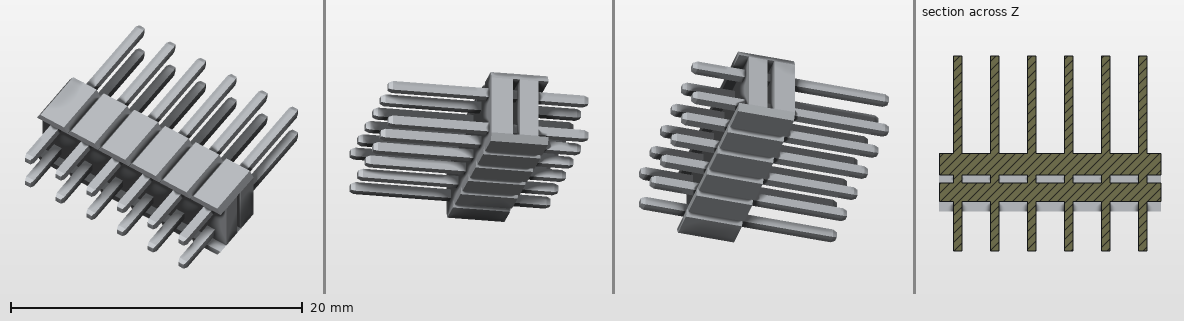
import cadquery as cq

pitch = 2.54
columns = 6
rows = 2
housing_depth = 4.0
housing_length = columns * pitch
housing_height = rows * pitch
front_face_y = -housing_depth / 2
back_face_y = housing_depth / 2

bevel_width = 0.3
bevel_height = 0.52

lip_thickness = 0.5
recess_depth = 0.7
slot_width = 0.5
slot_front_y = 0.0

pin_width = 0.64
pin_front_length = 3.0
pin_back_length = 7.0
tip_length = 0.3
tip_width = 0.44


def centred_positions(count):
    """Positions of evenly pitched items, centred on zero."""
    return [(index - (count - 1) / 2) * pitch for index in range(count)]


def make_cell(x):
    """One housing cell: a rectangle with bevelled corners extruded along Y."""
    half_width = pitch / 2
    half_height = housing_height / 2
    flat = half_width - bevel_width
    side = half_height - bevel_height
    outline = [
        (-flat, -half_height),
        (flat, -half_height),
        (half_width, -side),
        (half_width, side),
        (flat, half_height),
        (-flat, half_height),
        (-half_width, side),
        (-half_width, -side),
    ]
    cell = cq.Workplane("XZ").polyline(outline).close().extrude(housing_depth / 2, both=True)
    return cell.translate((x, 0, 0))


def make_channel(start_y, width):
    """Cutter running the full length in X, between the upper and lower lips."""
    channel_height = housing_height - 2 * lip_thickness
    channel = cq.Workplane("XY").box(housing_length, width, channel_height)
    return channel.translate((0, start_y + width / 2, 0))


def make_housing():
    """Row of cells with the front recess and the cross slot cut away."""
    housing = cq.Workplane("XY")
    for x in centred_positions(columns):
        housing = housing.union(make_cell(x))
    housing = housing.cut(make_channel(front_face_y, recess_depth))
    return housing.cut(make_channel(slot_front_y, slot_width))


def make_tip(base_y, direction):
    """Tapered pin end, narrowing from base_y along +Y (1) or -Y (-1)."""
    base_plane = cq.Plane(origin=(0, base_y, 0), xDir=(1, 0, 0), normal=(0, direction, 0))
    return (
        cq.Workplane(base_plane)
        .rect(pin_width, pin_width)
        .workplane(offset=tip_length)
        .rect(tip_width, tip_width)
        .loft()
    )


def make_pin():
    """One pin on the Y axis, passing through the housing."""
    shank_front_y = front_face_y - pin_front_length + tip_length
    shank_back_y = back_face_y + pin_back_length - tip_length
    shank_length = shank_back_y - shank_front_y
    shank = cq.Workplane("XY").box(pin_width, shank_length, pin_width)
    shank = shank.translate((0, (shank_front_y + shank_back_y) / 2, 0))
    return shank.union(make_tip(shank_front_y, -1)).union(make_tip(shank_back_y, 1))


def make_header():
    """Housing with a pin at every column and row."""
    header = make_housing()
    pin = make_pin()
    for x in centred_positions(columns):
        for z in centred_positions(rows):
            header = header.union(pin.translate((x, 0, z)))
    return header


result = make_header()